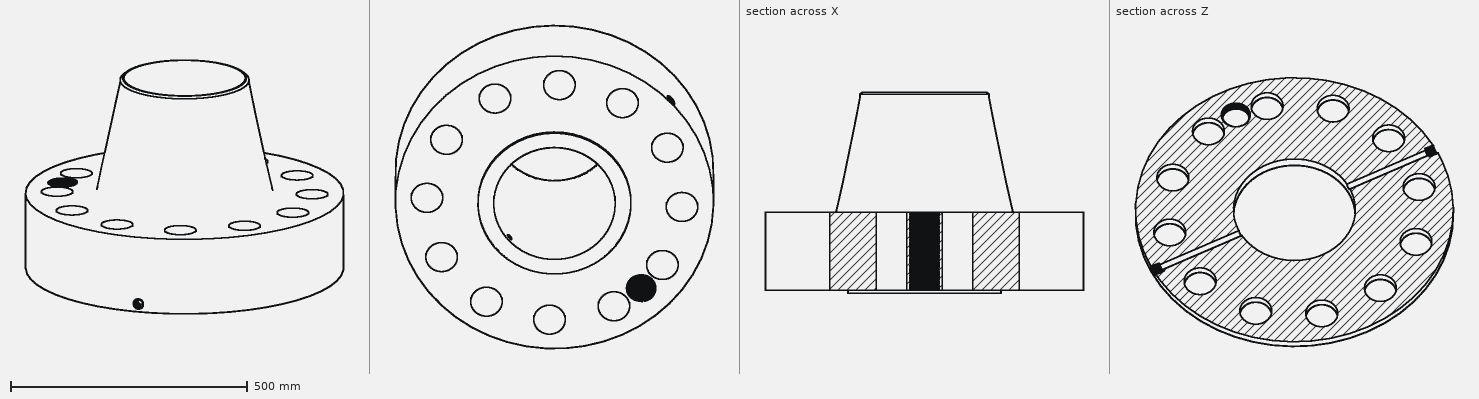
import cadquery as cq
import math


flange_diameter = 673.1
flange_thickness = 165.1
raised_face_diameter = 323.85
raised_face_height = 6.35
total_height = 425.45

hub_base_diameter = 374.65
hub_base_fillet = 3.0
pipe_diameter = 273.05
bore_diameter = 257.0
weld_end_length = 10.0
bevel_width = 5.6
bevel_angle = 37.5

bolt_count = 12
bolt_circle_diameter = 539.75
bolt_hole_diameter = 66.675

jack_major_diameter = 62.0
jack_pitch = 5.0

tap_height = 23.8
tap_drill_diameter = 12.7
tap_major_diameter = 22.0
tap_pitch = 1.814
tap_depth = 20.0

flank_angle = 30.0
root_flat_ratio = 0.25
thread_depth_ratio = 0.5413
groove_overlap = 0.1

select_margin = 1.0

flange_radius = flange_diameter / 2
flange_top = raised_face_height + flange_thickness
bolt_circle_radius = bolt_circle_diameter / 2


def make_body():
    """Revolve the ring, hub and weld end, with the bore left open."""
    bore_radius = bore_diameter / 2
    raised_face_radius = raised_face_diameter / 2
    pipe_radius = pipe_diameter / 2
    bevel_height = bevel_width * math.tan(math.radians(bevel_angle))
    profile = (
        cq.Workplane("XZ")
        .moveTo(bore_radius, 0)
        .lineTo(raised_face_radius, 0)
        .lineTo(raised_face_radius, raised_face_height)
        .lineTo(flange_radius, raised_face_height)
        .lineTo(flange_radius, flange_top)
        .lineTo(hub_base_diameter / 2, flange_top)
        .lineTo(pipe_radius, total_height - weld_end_length)
        .lineTo(pipe_radius, total_height - bevel_height)
        .lineTo(pipe_radius - bevel_width, total_height)
        .lineTo(bore_radius, total_height)
        .close()
    )
    body = profile.revolve(360, (0, 0, 0), (0, 1, 0))
    top_face_box = cq.selectors.BoxSelector(
        (-select_margin, -select_margin, flange_top - select_margin),
        (select_margin, select_margin, flange_top + select_margin),
    )
    hub_foot = body.edges(top_face_box).edges(cq.selectors.RadiusNthSelector(0))
    return hub_foot.fillet(hub_base_fillet)


def minor_diameter(major_diameter, pitch):
    """Crest diameter of an internal thread."""
    return major_diameter - 2 * thread_depth_ratio * pitch


def thread_groove(major_diameter, pitch, top, length):
    """Helical groove about Z, clipped to the given length below the top.

    The groove crosses the top plane on the +X side.
    """
    inner_radius = minor_diameter(major_diameter, pitch) / 2 - groove_overlap
    outer_radius = major_diameter / 2
    half_root = pitch * root_flat_ratio / 2
    flank_rise = (outer_radius - inner_radius) * math.tan(math.radians(flank_angle))
    half_mouth = half_root + flank_rise
    turns_below_top = math.ceil(length / pitch) + 1
    helix_start = top - turns_below_top * pitch
    helix = cq.Wire.makeHelix(pitch, (turns_below_top + 1) * pitch, inner_radius)
    section = (
        cq.Workplane("XZ")
        .moveTo(inner_radius, -half_mouth)
        .lineTo(outer_radius, -half_root)
        .lineTo(outer_radius, half_root)
        .lineTo(inner_radius, half_mouth)
        .close()
    )
    groove = section.sweep(cq.Workplane(obj=helix), isFrenet=True).translate((0, 0, helix_start))
    envelope = cq.Workplane("XY", origin=(0, 0, top - length)).circle(major_diameter).extrude(length)
    return groove.intersect(envelope)


def cut_bolt_holes(body):
    """Bolt holes straddle the X and Y axes."""
    holes = (
        cq.Workplane("XY")
        .polarArray(bolt_circle_radius, 180 / bolt_count, 360, bolt_count)
        .circle(bolt_hole_diameter / 2)
        .extrude(flange_top)
    )
    return body.cut(holes)


def cut_jackscrew_hole(body):
    """Threaded through hole on the bolt circle, on the -X side."""
    hole_radius = minor_diameter(jack_major_diameter, jack_pitch) / 2
    hole = cq.Workplane("XY").circle(hole_radius).extrude(flange_top)
    groove = thread_groove(
        jack_major_diameter, jack_pitch, flange_top, flange_thickness
    )
    position = (-bolt_circle_radius, 0, 0)
    for cutter in (hole, groove):
        body = body.cut(cutter.translate(position))
    return body


def cut_pressure_taps(body):
    """Radial taps on the -Y and +Y sides: a drilled hole with a threaded mouth."""
    drill = cq.Workplane("XY").circle(tap_drill_diameter / 2).extrude(flange_radius)
    mouth_start = flange_radius - tap_depth
    mouth = (
        cq.Workplane("XY", origin=(0, 0, mouth_start))
        .circle(minor_diameter(tap_major_diameter, tap_pitch) / 2)
        .extrude(tap_depth)
    )
    groove = thread_groove(
        tap_major_diameter, tap_pitch, flange_radius, tap_depth
    )
    for tilt in (90, -90):
        for cutter in (drill, mouth, groove):
            radial_cutter = cutter.rotate((0, 0, 0), (1, 0, 0), tilt)
            body = body.cut(radial_cutter.translate((0, 0, tap_height)))
    return body


result = make_body()
result = cut_bolt_holes(result)
result = cut_jackscrew_hole(result)
result = cut_pressure_taps(result)